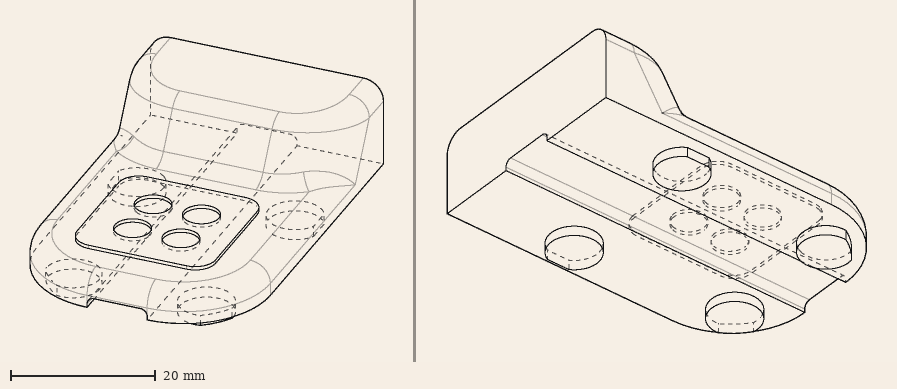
import cadquery as cq
import math

width = 35.0
length = 53.0
half_width = width / 2

base_height = 4.95
front_corner_radius = 13.0
edge_radius = 3.0

block_height = 13.0
block_top_depth = 14.95
slope_from_vertical = math.radians(31.6)
block_corner_radius = 10.0

pad_size = 20.8
pad_rise = 0.55
pad_corner_radius = 3.0
pad_center_y = 17.65
recess_diameter = 5.25
recess_spacing = 7.25
recess_depth = pad_rise

channel_width = width - 2 * front_corner_radius
channel_height = 1.6
channel_corner_radius = 1.0

foot_height = 1.6
foot_diameter = 8.05
foot_inset = 2.05
front_foot_x = 10.0
front_foot_y = 8.0
rear_foot_x = 11.85
rear_foot_y = 35.0


def rounded_front_plate(inset, bottom, height):
    """Plate with the body outline moved inwards by inset, its front corners rounded."""
    return (
        cq.Workplane("XY", origin=(0, 0, bottom))
        .rect(width - 2 * inset, length - 2 * inset)
        .extrude(height)
        .translate((0, length / 2, 0))
        .edges("|Z and <Y")
        .fillet(front_corner_radius - inset)
    )


def make_base():
    plate = rounded_front_plate(0, 0, base_height)
    rim = plate.faces(">Z").edges("not >Y")
    return rim.fillet(edge_radius)


def slope_y(height):
    """Y position of the sloping front face of the block at a given height."""
    return length - block_top_depth - (block_height - height) * math.tan(slope_from_vertical)


def make_block():
    profile = [
        (length, 0),
        (length, block_height),
        (slope_y(block_height), block_height),
        (slope_y(0), 0),
    ]
    block = cq.Workplane("YZ").polyline(profile).close().extrude(half_width, both=True)
    slope_direction = cq.Vector(0, math.sin(slope_from_vertical), math.cos(slope_from_vertical))
    slanted_corners = cq.selectors.ParallelDirSelector(slope_direction)
    block = block.edges(slanted_corners).fillet(block_corner_radius)
    return block.faces(">Z").edges("not >Y").fillet(edge_radius)


def make_body():
    """Base and block joined, with a concave fillet that follows the whole seam between them."""
    body = make_base().union(make_block())
    seam_middle = (0, slope_y(base_height), base_height)
    return body.edges(cq.selectors.NearestToPointSelector(seam_middle)).fillet(edge_radius)


def make_pad():
    pad = (
        cq.Workplane("XY", origin=(0, pad_center_y, 0))
        .rect(pad_size, pad_size)
        .extrude(base_height + pad_rise)
        .edges("|Z")
        .fillet(pad_corner_radius)
    )
    return (
        pad.faces(">Z")
        .workplane()
        .rarray(recess_spacing, recess_spacing, 2, 2)
        .hole(recess_diameter, recess_depth)
    )


def make_channel():
    return (
        cq.Workplane("XY", origin=(0, length / 2, 0))
        .rect(channel_width, length)
        .extrude(channel_height)
        .edges("|Y and >Z")
        .fillet(channel_corner_radius)
    )


def make_feet():
    places = [
        (side * x, y)
        for side in (-1, 1)
        for x, y in ((front_foot_x, front_foot_y), (rear_foot_x, rear_foot_y))
    ]
    discs = (
        cq.Workplane("XY", origin=(0, 0, -foot_height))
        .pushPoints(places)
        .circle(foot_diameter / 2)
        .extrude(foot_height)
    )
    return discs.intersect(rounded_front_plate(foot_inset, -foot_height, foot_height))


result = make_body().union(make_pad()).cut(make_channel()).union(make_feet())